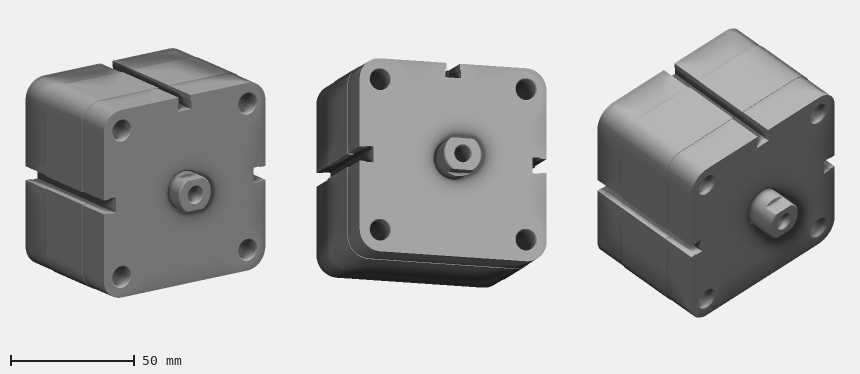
import cadquery as cq
import math

barrel_length = 25.4
cap_length = 14.8
barrel_size = 80.0
cap_inset = 0.2
cap_size = barrel_size - 2 * cap_inset
barrel_start = cap_length
far_cap_start = barrel_start + barrel_length
housing_length = far_cap_start + cap_length

hole_spacing = 62.0
hole_diameter = 8.5
hole_chamfer = 0.4

slot_sides = (0, 90, -90)
slot_depth = 6.2
slot_floor_height = 3.0
slot_floor_width = 6.6
slot_neck_width = 5.2
cap_neck_width = 5.8

rod_diameter = 16.0
near_projection = 12.5
far_projection = 7.5
rod_length = near_projection + housing_length + far_projection
rod_chamfer = 0.5
flat_spacing = 13.0
flat_length = 5.9
flat_runout = 0.3
bore_diameter = 6.8
bore_depth = 20.0
bore_chamfer = 0.5
drill_point_angle = 118.0

rod_bore_chamfer = 0.4


def x_cylinder(start, length, diameter):
    """Cylinder on the X axis."""
    return cq.Workplane("YZ", origin=(start, 0, 0)).circle(diameter / 2).extrude(length)


def slot_cutter(start, length, neck_width):
    """T-slot opening on +Z, with 45 degree shoulders from floor width to neck width."""
    floor = barrel_size / 2 - slot_depth
    shoulder = floor + slot_floor_height
    neck = shoulder + (slot_floor_width - neck_width) / 2
    top = barrel_size / 2
    right_side = [
        (slot_floor_width / 2, floor),
        (slot_floor_width / 2, shoulder),
        (neck_width / 2, neck),
        (neck_width / 2, top),
    ]
    left_side = [(-y, z) for y, z in reversed(right_side)]
    profile = cq.Workplane("YZ", origin=(start, 0, 0)).polyline(right_side + left_side).close()
    return profile.extrude(length)


def housing_block(start, length, size, neck_width):
    """Rounded square block with the slots and the four mounting holes."""
    corner_radius = (size - hole_spacing) / 2
    block = (
        cq.Workplane("YZ", origin=(start, 0, 0))
        .rect(size, size)
        .extrude(length)
        .edges("|X")
        .fillet(corner_radius)
    )
    holes = (
        cq.Workplane("YZ", origin=(start, 0, 0))
        .rect(hole_spacing, hole_spacing, forConstruction=True)
        .vertices()
        .circle(hole_diameter / 2)
        .extrude(length)
    )
    block = block.cut(holes)
    cutter = slot_cutter(start, length, neck_width)
    for angle in slot_sides:
        block = block.cut(cutter.rotate((0, 0, 0), (1, 0, 0), angle))
    return block


def make_barrel():
    barrel = housing_block(barrel_start, barrel_length, barrel_size, slot_neck_width)
    return barrel.cut(x_cylinder(barrel_start, barrel_length, rod_diameter))


def make_cap(start, outer_face):
    """End cap; outer_face selects the exposed end, where all the bores are chamfered."""
    cap = housing_block(start, cap_length, cap_size, cap_neck_width)
    mounting_hole_rims = cap.faces(outer_face).edges("%CIRCLE").edges(cq.selectors.RadiusNthSelector(0))
    cap = mounting_hole_rims.chamfer(hole_chamfer)

    cap = cap.cut(x_cylinder(start, cap_length, rod_diameter))
    rod_bore_rim = cap.faces(outer_face).edges("%CIRCLE").edges(cq.selectors.RadiusNthSelector(1))
    return rod_bore_rim.chamfer(rod_bore_chamfer)


def rod_end_bore():
    """Chamfered blind bore with a drill point, entering the rod at X = 0 toward +X."""
    radius = bore_diameter / 2
    tip = radius / math.tan(math.radians(drill_point_angle / 2))
    profile = [
        (0, 0),
        (0, radius + bore_chamfer),
        (bore_chamfer, radius),
        (bore_depth, radius),
        (bore_depth + tip, 0),
    ]
    return cq.Workplane("XY").polyline(profile).close().revolve(360, (0, 0, 0), (1, 0, 0))


def wrench_flat_cutter():
    """Pair of cutters above and below a rod end at X = 0, each with a sloped inner shoulder."""
    flat = flat_spacing / 2
    surface = rod_diameter / 2
    profile = [(0, flat), (flat_length, flat), (flat_length + flat_runout, surface), (0, surface)]
    upper = cq.Workplane("XZ").polyline(profile).close().extrude(surface, both=True)
    return upper.add(upper.mirror("XY")).combine()


def make_rod():
    rod_start = -near_projection
    rod_end = rod_start + rod_length
    rod = x_cylinder(rod_start, rod_length, rod_diameter).edges().chamfer(rod_chamfer)

    near_flats = wrench_flat_cutter().translate((rod_start, 0, 0))
    far_flats = wrench_flat_cutter().mirror("YZ").translate((rod_end, 0, 0))
    rod = rod.cut(near_flats).cut(far_flats)

    near_bore = rod_end_bore().translate((rod_start, 0, 0))
    far_bore = rod_end_bore().mirror("YZ").translate((rod_end, 0, 0))
    return rod.cut(near_bore).cut(far_bore)


barrel = make_barrel()
caps = [make_cap(0, "<X"), make_cap(far_cap_start, ">X")]
rod = make_rod()

result = cq.Compound.makeCompound([barrel.val(), *[cap.val() for cap in caps], rod.val()])